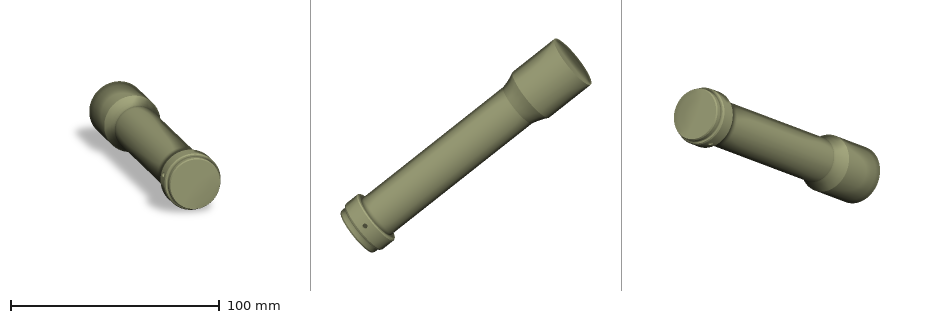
import cadquery as cq
import math

total_length = 134.8
head_end = 26.0
taper_end = 34.2
collar_start = 122.7
collar_end = 131.0
flange_start = 131.5

head_radius = 14.0
shaft_radius = 11.12
collar_radius = head_radius
groove_radius = 12.1
flange_radius = 12.74

taper_sag = 0.3

bevel_height = 0.4
collar_front_bevel = 0.5
rear_bevel = 0.8

hole_diameter = 2.4
hole_depth = collar_radius - shaft_radius
hole_count = 3
first_hole_angle = 45.0
hole_x = (collar_start + collar_end) / 2


def make_body():
    """Revolve the half profile about the X axis."""
    taper_run = taper_end - head_end
    taper_drop = head_radius - shaft_radius
    taper_slant = math.hypot(taper_run, taper_drop)
    taper_middle = (
        (head_end + taper_end) / 2 - taper_sag * taper_drop / taper_slant,
        (head_radius + shaft_radius) / 2 - taper_sag * taper_run / taper_slant,
    )
    profile = (
        cq.Workplane("XY")
        .lineTo(0, head_radius)
        .lineTo(head_end, head_radius)
        .threePointArc(taper_middle, (taper_end, shaft_radius))
        .lineTo(collar_start, shaft_radius)
        .lineTo(collar_start, collar_radius - bevel_height)
        .lineTo(collar_start + collar_front_bevel, collar_radius)
        .lineTo(collar_end - rear_bevel, collar_radius)
        .lineTo(collar_end, collar_radius - bevel_height)
        .lineTo(collar_end, groove_radius)
        .lineTo(flange_start, groove_radius)
        .lineTo(flange_start, flange_radius)
        .lineTo(total_length - rear_bevel, flange_radius)
        .lineTo(total_length, flange_radius - bevel_height)
        .lineTo(total_length, 0)
        .close()
    )
    return profile.revolve(360, (0, 0, 0), (1, 0, 0))


def make_hole(angle):
    """Return the cutter for one blind radial hole."""
    direction = cq.Vector(0, math.cos(math.radians(angle)), math.sin(math.radians(angle)))
    floor_center = cq.Vector(hole_x, 0, 0) + direction * (collar_radius - hole_depth)
    cutter_length = 2 * hole_depth
    return cq.Solid.makeCylinder(hole_diameter / 2, cutter_length, floor_center, direction)


result = make_body()
for index in range(hole_count):
    result = result.cut(cq.Workplane(make_hole(first_hole_angle + index * 360 / hole_count)))